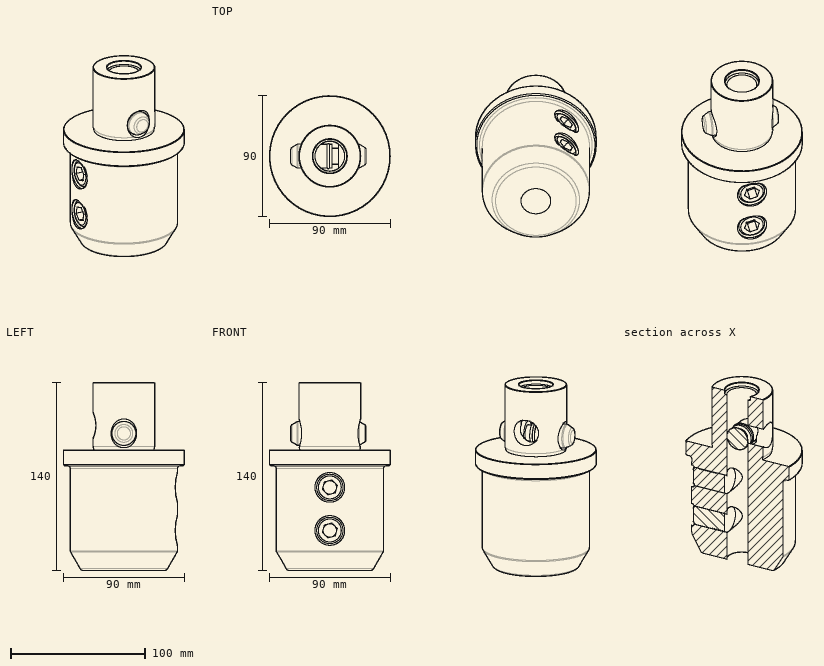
import cadquery as cq
import math

SELECT_MARGIN = 1.4

TOTAL_HEIGHT = 140.0
BODY_RADIUS = 80.0 / 2
FLANGE_RADIUS = 90.0 / 2
SPIGOT_RADIUS = 46.0 / 2
FLANGE_TOP = 90.0
FLANGE_BOTTOM = 78.0
UNDERCUT_HEIGHT = 2.5
UNDERCUT_DEPTH = 0.5
NOSE_HEIGHT = 14.3
TAPER = math.tan(math.radians(30))
NOSE_RADIUS = BODY_RADIUS - NOSE_HEIGHT * TAPER
SHOULDER_FILLET = 2.0
NOSE_FILLET = 3.0
SMALL_CHAMFER = 0.4
FLANGE_LOWER_CHAMFER = 1.0

BORE_RADIUS = 11.0
COUNTERBORE_RADIUS = 12.6
COUNTERBORE_DEPTH = 3.1
COUNTERBORE_CONE = 0.5

SCREW_HEIGHTS = (30.0, 62.0)
SCREW_RADIUS = 9.8
SCREW_CHAMFER = 1.3
SCREW_FACE_Y = -38.1
SCREW_POCKET_RADIUS = 11.0
SCREW_POCKET_Y = -38.4
HEX_ACROSS_FLATS = 10.0
HEX_CIRCLE = HEX_ACROSS_FLATS / math.cos(math.radians(30))
HEX_TURN = 15.0
HEX_DEPTH = 9.8
HEX_TIP = HEX_CIRCLE / 2 * TAPER

PIN_HEIGHT = 102.2
PIN_RADIUS = 9.0
PIN_LEFT = -29.1
PIN_RIGHT = 26.9
PIN_CONE = 5.0
PIN_END_RADIUS = PIN_RADIUS - PIN_CONE * TAPER
PIN_END_FILLET = 2.0
PIN_CONE_FILLET = 1.7
NECK_LEFT = 1.7
NECK_RIGHT = 6.5
NECK_RADIUS = 6.0
SEAL_X = -1.1
SEAL_THICKNESS = 1.7
SEAL_OUTER_RADIUS = 9.4
SEAL_GROOVE_RADIUS = SEAL_OUTER_RADIUS - SEAL_THICKNESS
PIN_MOUTH_RADIUS = 10.8
PIN_MOUTH_DEPTH = (PIN_MOUTH_RADIUS - PIN_RADIUS) / TAPER

BACK_HOLE_HEIGHT = 108.1
BACK_HOLE_RADIUS = 9.7


def cylinder_along(axis, radius, start, end, height):
    """Cylinder along the given axis direction, on the line Z = height."""
    direction = cq.Vector(*axis)
    base = direction * start + cq.Vector(0, 0, height)
    return cq.Workplane(cq.Solid.makeCylinder(radius, end - start, base, direction))


def cone_along(axis, start_radius, end_radius, start, end, height):
    """Cone along the given axis direction, on the line Z = height."""
    direction = cq.Vector(*axis)
    base = direction * start + cq.Vector(0, 0, height)
    return cq.Workplane(cq.Solid.makeCone(start_radius, end_radius, end - start, base, direction))


def make_holder_blank():
    nose_and_body = (
        cq.Workplane("XZ")
        .lineTo(NOSE_RADIUS, 0)
        .lineTo(BODY_RADIUS, NOSE_HEIGHT)
        .lineTo(BODY_RADIUS, FLANGE_BOTTOM)
        .lineTo(0, FLANGE_BOTTOM)
        .close()
        .revolve(360, (0, 0, 0), (0, 1, 0))
    )
    nose_and_body = nose_and_body.faces("<Z").edges().fillet(NOSE_FILLET)
    nose_edge = cq.selectors.BoxSelector(
        (-SELECT_MARGIN, -SELECT_MARGIN, NOSE_HEIGHT - SELECT_MARGIN),
        (SELECT_MARGIN, SELECT_MARGIN, NOSE_HEIGHT + SELECT_MARGIN))
    nose_and_body = nose_and_body.edges(nose_edge).fillet(SHOULDER_FILLET)

    flange = (
        cq.Workplane("XY", origin=(0, 0, FLANGE_BOTTOM))
        .circle(FLANGE_RADIUS)
        .extrude(FLANGE_TOP - FLANGE_BOTTOM)
        .faces(">Z").chamfer(SMALL_CHAMFER)
        .faces("<Z").chamfer(FLANGE_LOWER_CHAMFER)
    )

    undercut = cone_along((0, 0, 1), SPIGOT_RADIUS - UNDERCUT_DEPTH, SPIGOT_RADIUS,
                          FLANGE_TOP, FLANGE_TOP + UNDERCUT_HEIGHT, 0)
    spigot = (
        cq.Workplane("XY", origin=(0, 0, FLANGE_TOP + UNDERCUT_HEIGHT))
        .circle(SPIGOT_RADIUS)
        .extrude(TOTAL_HEIGHT - FLANGE_TOP - UNDERCUT_HEIGHT)
        .faces(">Z").chamfer(SMALL_CHAMFER)
    )

    ring_bottom = FLANGE_BOTTOM - SHOULDER_FILLET
    fillet_ring = (
        cq.Workplane("XZ")
        .moveTo(BODY_RADIUS - SHOULDER_FILLET, ring_bottom)
        .lineTo(BODY_RADIUS, ring_bottom)
        .radiusArc((BODY_RADIUS + SHOULDER_FILLET, FLANGE_BOTTOM), SHOULDER_FILLET)
        .lineTo(BODY_RADIUS - SHOULDER_FILLET, FLANGE_BOTTOM)
        .close()
        .revolve(360, (0, 0, 0), (0, 1, 0))
    )
    return nose_and_body.union(fillet_ring).union(flange).union(undercut).union(spigot)


def make_bore():
    cylinder_bottom = TOTAL_HEIGHT - COUNTERBORE_DEPTH
    return (
        cq.Workplane("XZ")
        .lineTo(BORE_RADIUS, 0)
        .lineTo(BORE_RADIUS, cylinder_bottom - COUNTERBORE_CONE)
        .lineTo(COUNTERBORE_RADIUS, cylinder_bottom)
        .lineTo(COUNTERBORE_RADIUS, TOTAL_HEIGHT - SMALL_CHAMFER)
        .lineTo(COUNTERBORE_RADIUS + SMALL_CHAMFER, TOTAL_HEIGHT)
        .lineTo(0, TOTAL_HEIGHT)
        .close()
        .revolve(360, (0, 0, 0), (0, 1, 0))
    )


def make_screw_hole(height):
    """Plain screw hole that opens through a 45 degree cone into a wider pocket."""
    cone_depth = SCREW_POCKET_RADIUS - SCREW_RADIUS
    inward = (0, 1, 0)
    hole = cylinder_along(inward, SCREW_RADIUS, SCREW_POCKET_Y, 0, height)
    cone = cone_along(inward, SCREW_POCKET_RADIUS, SCREW_RADIUS,
                      SCREW_POCKET_Y, SCREW_POCKET_Y + cone_depth, height)
    pocket = cylinder_along(inward, SCREW_POCKET_RADIUS, -BODY_RADIUS, SCREW_POCKET_Y, height)
    return hole.union(cone).union(pocket)


def make_pin_hole():
    """Cross hole through the spigot with a conical mouth at each end."""
    hole = cylinder_along((1, 0, 0), PIN_RADIUS, -SPIGOT_RADIUS, SPIGOT_RADIUS, PIN_HEIGHT)
    for side in (-1, 1):
        mouth = cone_along((side, 0, 0), PIN_RADIUS, PIN_MOUTH_RADIUS,
                           SPIGOT_RADIUS - PIN_MOUTH_DEPTH, SPIGOT_RADIUS, PIN_HEIGHT)
        hole = hole.union(mouth)
    return hole


def make_holder():
    holder = make_holder_blank().cut(make_bore()).cut(make_pin_hole())
    for height in SCREW_HEIGHTS:
        holder = holder.cut(make_screw_hole(height))
    back_hole = cylinder_along((0, 1, 0), BACK_HOLE_RADIUS, 0, SPIGOT_RADIUS, BACK_HOLE_HEIGHT)
    return holder.cut(back_hole)


def make_screw(height):
    """Set screw with a chamfered hex-socket face; its tip ends at the bore."""
    screw = cylinder_along((0, 1, 0), SCREW_RADIUS, SCREW_FACE_Y, -BORE_RADIUS, height)
    screw = screw.faces("<Y").chamfer(SCREW_CHAMFER)
    hexagon = (
        cq.Workplane("XZ", origin=(0, SCREW_FACE_Y, height))
        .transformed(rotate=(0, 0, HEX_TURN))
        .polygon(6, HEX_CIRCLE)
        .extrude(-HEX_DEPTH)
    )
    socket_end = SCREW_FACE_Y + HEX_DEPTH
    tip = cone_along((0, 1, 0), HEX_ACROSS_FLATS / 2, 0, socket_end, socket_end + HEX_TIP, height)
    return screw.cut(hexagon).cut(tip)


def make_pin():
    pin = (
        cq.Workplane("XY")
        .moveTo(PIN_LEFT, 0)
        .lineTo(PIN_LEFT, PIN_END_RADIUS)
        .lineTo(PIN_LEFT + PIN_CONE, PIN_RADIUS)
        .lineTo(PIN_RIGHT - PIN_CONE, PIN_RADIUS)
        .lineTo(PIN_RIGHT, PIN_END_RADIUS)
        .lineTo(PIN_RIGHT, 0)
        .close()
        .revolve(360, (0, 0, 0), (1, 0, 0))
    )
    for end_x, inward in ((PIN_LEFT, 1), (PIN_RIGHT, -1)):
        cone_x = end_x + inward * PIN_CONE
        cone_edge = cq.selectors.BoxSelector(
            (cone_x - SELECT_MARGIN, -SELECT_MARGIN, -SELECT_MARGIN),
            (cone_x + SELECT_MARGIN, SELECT_MARGIN, SELECT_MARGIN))
        pin = pin.edges(cone_edge).fillet(PIN_CONE_FILLET)
    pin = pin.faces("<X or >X").edges().fillet(PIN_END_FILLET)
    pin = pin.translate((0, 0, PIN_HEIGHT))

    seal_left = SEAL_X - SEAL_THICKNESS / 2
    seal_right = SEAL_X + SEAL_THICKNESS / 2
    grooves = ((NECK_LEFT, NECK_RIGHT, NECK_RADIUS), (seal_left, seal_right, SEAL_GROOVE_RADIUS))
    for left, right, core_radius in grooves:
        outer = cylinder_along((1, 0, 0), PIN_RADIUS, left, right, PIN_HEIGHT)
        core = cylinder_along((1, 0, 0), core_radius, left, right, PIN_HEIGHT)
        pin = pin.cut(outer.cut(core))
    return pin


def make_seal():
    """Round-section ring seated in the groove of the pin."""
    section_radius = SEAL_THICKNESS / 2
    ring_radius = SEAL_OUTER_RADIUS - section_radius
    return cq.Workplane(cq.Solid.makeTorus(
        ring_radius, section_radius, cq.Vector(SEAL_X, 0, PIN_HEIGHT), cq.Vector(1, 0, 0)))


holder = make_holder()
screws = [make_screw(height) for height in SCREW_HEIGHTS]
pin = make_pin()
seal = make_seal()

result = cq.Compound.makeCompound(
    [holder.val(), *[screw.val() for screw in screws], pin.val(), seal.val()]
)